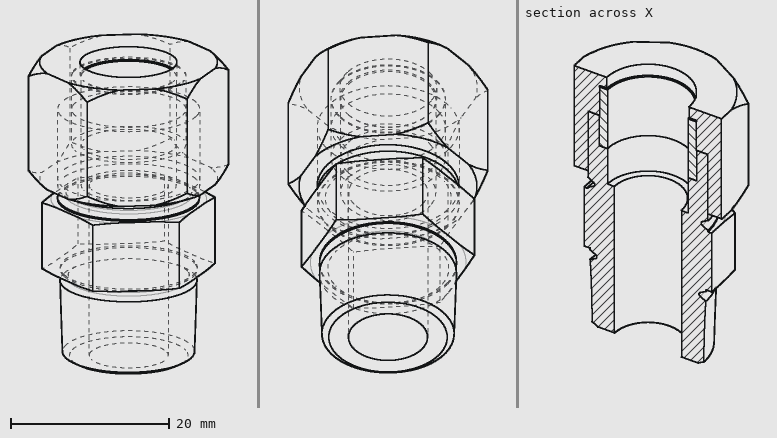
import cadquery as cq
import math


total_height = 39.0
passage_radius = 5.0
tube_radius = 6.0
connection_radius = 8.97

nut_flats = 22.0
nut_height = 15.5
nut_bottom = total_height - nut_height
nut_chamfer_radius = 11.25
nut_chamfer_angle = 45.0
nut_bore_radius = 6.12
nut_lip = 1.7
ring_recess_top = total_height - nut_lip

ring_radius = 7.2
ring_top_gap = 0.15
ring_top = ring_recess_top - ring_top_gap
ring_bottom = 28.08

body_top = 32.75
socket_floor = 22.62
body_flats = 19.05
hex_bottom = 11.7
hex_top = 20.83
hex_chamfer_radius = 9.83
hex_chamfer_angle = 9.0

groove_width = 1.5
groove_angle = 30.0
groove_round = 0.27
upper_groove_middle = 21.75
lower_groove_middle = 10.72

stub_radius = 8.65
stub_taper = 1 / 16
stub_chamfer_height = 0.5
stub_chamfer_angle = 30.0


def revolve(profile):
    """Full turn of an XZ profile about Z."""
    return profile.close().revolve(360, (0, 0, 0), (0, 1, 0))


def cylinder(radius, bottom, top):
    return cq.Workplane("XY").workplane(offset=bottom).circle(radius).extrude(top - bottom)


def chamfered_hexagon(flats, bottom, top, face_radius, chamfer_angle):
    """Hexagonal prism with corners on the X axis, turned to a cone at both ends."""
    corner_radius = flats / math.sqrt(3)
    drop = (corner_radius - face_radius) * math.tan(math.radians(chamfer_angle))
    prism = cq.Workplane("XY").workplane(offset=bottom).polygon(6, 2 * corner_radius).extrude(top - bottom)
    envelope = revolve(
        cq.Workplane("XZ")
        .moveTo(0, bottom)
        .lineTo(face_radius, bottom)
        .lineTo(corner_radius, bottom + drop)
        .lineTo(corner_radius, top - drop)
        .lineTo(face_radius, top)
        .lineTo(0, top)
    )
    return prism.intersect(envelope)


def add_groove(profile, rim_radius, middle):
    """Continue a profile upwards through a V groove with a rounded bottom."""
    angle = math.radians(groove_angle)
    half_width = groove_width / 2
    round_half_height = groove_round * math.cos(angle)
    round_edge_radius = rim_radius - (half_width - round_half_height) / math.tan(angle)
    round_depth = groove_round * (1 - math.sin(angle))
    return (
        profile.lineTo(rim_radius, middle - half_width)
        .lineTo(round_edge_radius, middle - round_half_height)
        .threePointArc(
            (round_edge_radius - round_depth, middle),
            (round_edge_radius, middle + round_half_height),
        )
        .lineTo(rim_radius, middle + half_width)
    )


def make_body():
    taper_length = lower_groove_middle - groove_width / 2 - stub_chamfer_height
    stub_end_radius = stub_radius - taper_length * stub_taper / 2
    stub_chamfer_width = stub_chamfer_height / math.tan(math.radians(stub_chamfer_angle))
    hex_middle = (hex_bottom + hex_top) / 2

    profile = (
        cq.Workplane("XZ")
        .moveTo(0, 0)
        .lineTo(stub_end_radius - stub_chamfer_width, 0)
        .lineTo(stub_end_radius, stub_chamfer_height)
    )
    profile = add_groove(profile, stub_radius, lower_groove_middle)
    profile = profile.lineTo(stub_radius, hex_middle).lineTo(connection_radius, hex_middle)
    profile = add_groove(profile, connection_radius, upper_groove_middle)
    profile = profile.lineTo(connection_radius, body_top).lineTo(0, body_top)

    hexagon = chamfered_hexagon(body_flats, hex_bottom, hex_top, hex_chamfer_radius, hex_chamfer_angle)
    return (
        revolve(profile)
        .union(hexagon)
        .cut(cylinder(passage_radius, 0, total_height))
        .cut(cylinder(tube_radius, socket_floor, total_height))
        .cut(cylinder(ring_radius, ring_bottom, total_height))
    )


def make_ring():
    return cylinder(ring_radius, ring_bottom, ring_top).cut(cylinder(tube_radius, ring_bottom, ring_top))


def make_nut():
    hexagon = chamfered_hexagon(nut_flats, nut_bottom, total_height, nut_chamfer_radius, nut_chamfer_angle)
    return (
        hexagon.cut(cylinder(nut_bore_radius, nut_bottom, total_height))
        .cut(cylinder(ring_radius, nut_bottom, ring_recess_top))
        .cut(cylinder(connection_radius, nut_bottom, body_top))
    )


body = make_body()
ring = make_ring()
nut = make_nut()

result = cq.Compound.makeCompound([body.val(), ring.val(), nut.val()])